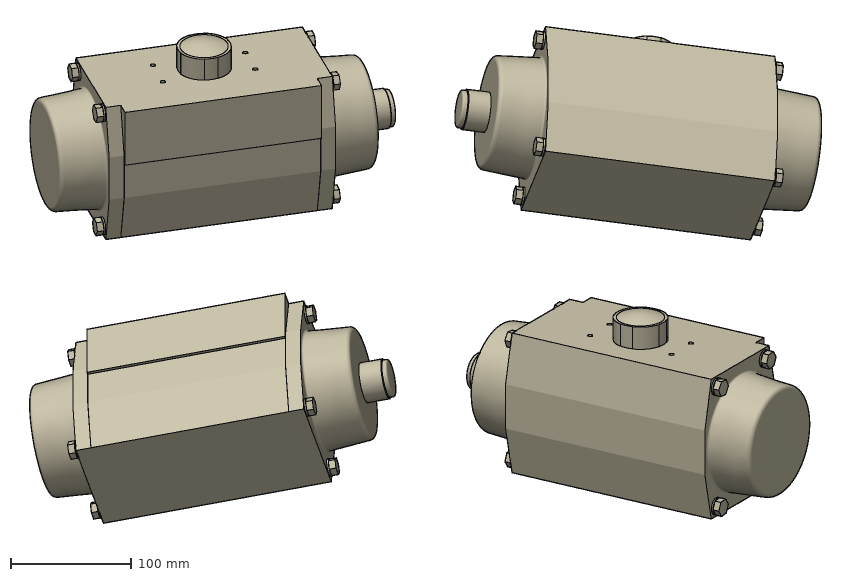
import cadquery as cq
import math

HALF_HEIGHT = 62.5
HALF_WIDTH = 55.0
TOP_HALF_WIDTH = 45.0
SIDE_HALF_HEIGHT = 19.8
BODY_HALF_LENGTH = 85.0
PLATE_THICKNESS = 13.0
PLATE_FACE = BODY_HALF_LENGTH + PLATE_THICKNESS

PAD_X = 58.0
PAD_BOTTOM = 12.5
SIDE_FACE_X = 55.5

CAP_END = 138.0
CAP_BASE_RADIUS = 50.8
CAP_TIP_RADIUS = 47.8
CAP_RIM_FILLET = 4.0
CAP_ROOT_FILLET = 1.8

STOP_TIP = 162.5
STOP_RADIUS = 16.98
STOP_SHOULDER = 157.0
STOP_SHOULDER_CHAMFER = 0.5
PLUG_RADIUS = 16.0
PLUG_END = 161.7
PLUG_FILLET = 1.8

KNOB_RADIUS = 22.8
KNOB_HEIGHT = 19.8
KNOB_DOME_RADIUS = 20.0
KNOB_DOME_HEIGHT = 4.2
KNOB_FLUTE_WIDTH = 11.7
KNOB_FLUTE_FLOOR = 22.5

BOLT_X = 37.3
BOLT_Z = 53.5
BOLT_DIAMETER = 15.0
BOLT_FLANGE = 1.5
BOLT_HEIGHT = 7.2
BOLT_TURN = 5

HOLE_SPACING_X = 30.0
HOLE_SPACING_Y = 80.0
HOLE_RADIUS = 2.0
HOLE_DEPTH = 8.5
DRILL_HALF_ANGLE = 59


def revolve_about_y(profile):
    """Turn a closed (radius, y) outline about the Y axis."""
    return profile.close().revolve(360, (0, 0, 0), (0, 1, 0))


def sphere_radius(rim_radius, height):
    """Radius of the sphere that forms a dome of the given rim radius and height."""
    return (rim_radius**2 + height**2) / (2 * height)


def prism_along_y(outline, start, end):
    """Extrude an (x, z) outline between two Y positions."""
    return cq.Workplane("XZ", origin=(0, start, 0)).polyline(outline).close().extrude(start - end)


def make_housing():
    """Padded body with an end plate on each end."""
    left_side = [
        (-TOP_HALF_WIDTH, -HALF_HEIGHT),
        (-HALF_WIDTH, -SIDE_HALF_HEIGHT),
        (-HALF_WIDTH, SIDE_HALF_HEIGHT),
        (-TOP_HALF_WIDTH, HALF_HEIGHT),
    ]
    plate_right = [(-x, z) for x, z in reversed(left_side)]
    body_right = [
        (PAD_X, HALF_HEIGHT),
        (PAD_X, PAD_BOTTOM),
        (SIDE_FACE_X, PAD_BOTTOM),
        (SIDE_FACE_X, -SIDE_HALF_HEIGHT),
        (TOP_HALF_WIDTH, -HALF_HEIGHT),
    ]
    body = prism_along_y(left_side + body_right, -BODY_HALF_LENGTH, BODY_HALF_LENGTH)
    plate = prism_along_y(left_side + plate_right, BODY_HALF_LENGTH, PLATE_FACE)
    return body.union(plate, clean=False).union(plate.mirror("XZ"), clean=False)


def make_cap():
    """End cap on the +Y side, with a flared root and a rounded rim."""
    root_radius = CAP_BASE_RADIUS + CAP_ROOT_FILLET
    root_end = PLATE_FACE + CAP_ROOT_FILLET
    cap = revolve_about_y(
        cq.Workplane("XY")
        .moveTo(0, 0)
        .lineTo(root_radius, 0)
        .lineTo(root_radius, PLATE_FACE)
        .radiusArc((CAP_BASE_RADIUS, root_end), CAP_ROOT_FILLET)
        .lineTo(CAP_TIP_RADIUS, CAP_END)
        .lineTo(0, CAP_END)
    )
    return cap.faces(">Y").edges().fillet(CAP_RIM_FILLET)


def make_stop():
    """Stop sleeve with a rounded, slightly domed plug in its end."""
    dome_radius = PLUG_RADIUS - PLUG_FILLET
    return revolve_about_y(
        cq.Workplane("XY")
        .moveTo(0, PLATE_FACE)
        .lineTo(STOP_RADIUS, PLATE_FACE)
        .lineTo(STOP_RADIUS, STOP_SHOULDER)
        .lineTo(STOP_RADIUS - STOP_SHOULDER_CHAMFER, STOP_SHOULDER + STOP_SHOULDER_CHAMFER)
        .lineTo(PLUG_RADIUS, STOP_SHOULDER + STOP_SHOULDER_CHAMFER)
        .lineTo(PLUG_RADIUS, PLUG_END - PLUG_FILLET)
        .radiusArc((dome_radius, PLUG_END), -PLUG_FILLET)
        .radiusArc((0, STOP_TIP), -sphere_radius(dome_radius, STOP_TIP - PLUG_END))
    )


def make_bolt():
    """Bolt head in the +X, +Y, +Z corner."""
    corner = cq.Workplane("XZ", origin=(BOLT_X, PLATE_FACE, BOLT_Z))
    flange = corner.circle(BOLT_DIAMETER / 2).extrude(-BOLT_FLANGE)
    head = (
        corner.polygon(6, BOLT_DIAMETER)
        .extrude(-BOLT_HEIGHT)
        .rotate((BOLT_X, 0, BOLT_Z), (BOLT_X, 1, BOLT_Z), -BOLT_TURN)
    )
    return flange.union(head)


def make_knob():
    """Fluted indicator with a spherical dome."""
    rim_z = HALF_HEIGHT + KNOB_HEIGHT
    dome_top = rim_z + KNOB_DOME_HEIGHT
    knob = (
        cq.Workplane("XZ")
        .lineTo(KNOB_RADIUS, 0)
        .lineTo(KNOB_RADIUS, rim_z)
        .lineTo(KNOB_DOME_RADIUS, rim_z)
        .radiusArc((0, dome_top), -sphere_radius(KNOB_DOME_RADIUS, KNOB_DOME_HEIGHT))
        .close()
        .revolve(360, (0, 0, 0), (0, 1, 0))
    )
    ring = (
        cq.Workplane("XY", origin=(0, 0, HALF_HEIGHT))
        .circle(2 * KNOB_RADIUS)
        .circle(KNOB_FLUTE_FLOOR)
        .extrude(KNOB_HEIGHT)
    )
    bar_length = 4 * KNOB_RADIUS
    for size_x, size_y in [(bar_length, KNOB_FLUTE_WIDTH), (KNOB_FLUTE_WIDTH, bar_length)]:
        bar = cq.Workplane("XY").box(size_x, size_y, 2 * dome_top)
        knob = knob.cut(ring.intersect(bar))
    return knob


def make_mounting_holes():
    """Blind drilled holes with conical ends."""
    point_depth = HOLE_RADIUS / math.tan(math.radians(DRILL_HALF_ANGLE))
    floor_z = HALF_HEIGHT - HOLE_DEPTH
    hole = (
        cq.Workplane("XZ")
        .moveTo(0, HALF_HEIGHT)
        .lineTo(HOLE_RADIUS, HALF_HEIGHT)
        .lineTo(HOLE_RADIUS, floor_z)
        .lineTo(0, floor_z - point_depth)
        .close()
        .revolve(360, (0, 0, 0), (0, 1, 0))
        .val()
    )
    return (
        cq.Workplane("XY")
        .rarray(HOLE_SPACING_X, HOLE_SPACING_Y, 2, 2)
        .eachpoint(lambda place: hole.moved(place))
    )


cap = make_cap()
bolts = make_bolt()
for mirror_plane in ("YZ", "XZ", "XY"):
    bolts = bolts.union(bolts.mirror(mirror_plane))

result = (
    make_housing()
    .union(cap, clean=False)
    .union(cap.mirror("XZ"), clean=False)
    .union(make_stop(), clean=False)
    .union(make_knob(), clean=False)
    .union(bolts, clean=False)
    .cut(make_mounting_holes(), clean=False)
)